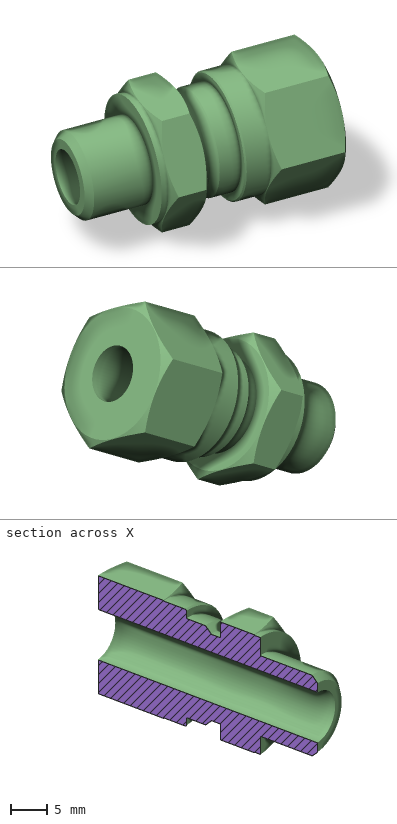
import cadquery as cq
import math

across_flats = 19.0
hex_corner_radius = across_flats / math.sqrt(3)
collar_radius = 9.4
total_length = 38.27
bore_radius = 4.0

stub_radius = 6.5
stub_length = 10.0
stub_chamfer = 1.0

washer_length = 1.0
body_hex_length = 6.0
neck_radius = 6.95
shoulder_radius = 8.0
neck_length = 1.53
shoulder_taper = 1.05

nut_hex_length = 11.5
skirt_length = 3.98
skirt_chamfer = 0.23

corner_chamfer_angle = 30.0
corner_chamfer = (hex_corner_radius - collar_radius) * math.tan(math.radians(corner_chamfer_angle))

stub_start = -total_length / 2
washer_start = stub_start + stub_length
body_hex_start = washer_start + washer_length
neck_start = body_hex_start + body_hex_length
shoulder_start = neck_start + neck_length
nut_hex_start = total_length / 2 - nut_hex_length
skirt_start = nut_hex_start - skirt_length


def revolve_profile(points):
    """Revolve a closed (radius, y) outline around the Y axis."""
    outline = cq.Workplane("XY").polyline(points).close()
    return outline.revolve(360, (0, 0, 0), (0, 1, 0))


def chamfered_hexagon(start, length):
    """Hexagon along Y, corners pointing along X, both ends coned off."""
    end = start + length
    prism = (
        cq.Workplane("XZ", origin=(0, start, 0))
        .polygon(6, 2 * hex_corner_radius)
        .extrude(-length)
    )
    envelope = revolve_profile([
        (0, start),
        (collar_radius, start),
        (hex_corner_radius, start + corner_chamfer),
        (hex_corner_radius, end - corner_chamfer),
        (collar_radius, end),
        (0, end),
    ])
    return prism.intersect(envelope)


turned_body = revolve_profile([
    (0, stub_start),
    (stub_radius - stub_chamfer, stub_start),
    (stub_radius, stub_start + stub_chamfer),
    (stub_radius, washer_start),
    (collar_radius, washer_start),
    (collar_radius, body_hex_start),
    (neck_radius, body_hex_start),
    (neck_radius, shoulder_start),
    (shoulder_radius, shoulder_start + shoulder_taper),
    (shoulder_radius, skirt_start),
    (collar_radius - skirt_chamfer, skirt_start),
    (collar_radius, skirt_start + skirt_chamfer),
    (collar_radius, nut_hex_start),
    (0, nut_hex_start),
])

body_hexagon = chamfered_hexagon(body_hex_start, body_hex_length)
nut_hexagon = chamfered_hexagon(nut_hex_start, nut_hex_length)
bore = cq.Workplane("XZ", origin=(0, stub_start, 0)).circle(bore_radius).extrude(-total_length)

result = turned_body.union(body_hexagon).union(nut_hexagon).cut(bore)